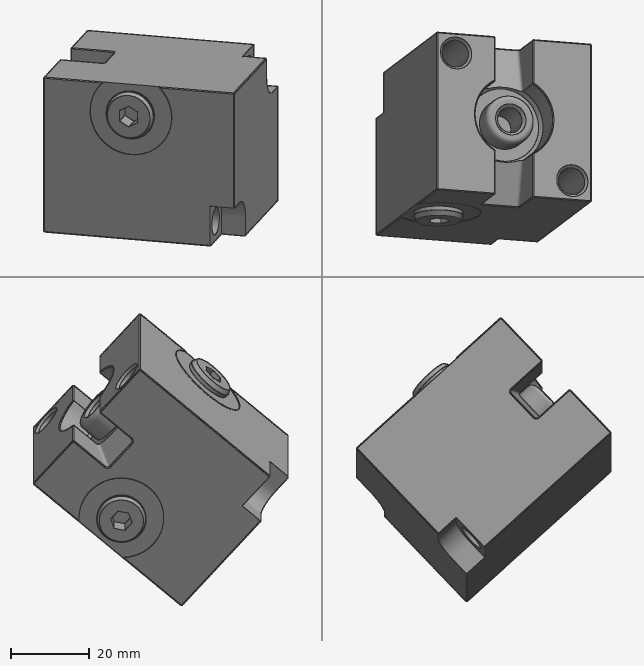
import cadquery as cq
import math

LENGTH = 50.29
SIDE = 41.28
HALF = SIDE / 2
EDGE_CHAMFER = 0.25

BORE_RADIUS = 10.35
BORE_DEPTH = 9.1
BORE_CHAMFER = 0.9
SLOT_WIDTH = 10.0
SLOT_EDGE_DEPTH = 11.65
SLOT_TAPER = 15.0
SLOT_FILLET = 0.8

BOSS_RADIUS = 6.33
BOSS_TIP_X = 2.82
BOSS_ROUND = 1.25
BOSS_HOLE_RADIUS = 3.25
BOSS_HOLE_CHAMFER = 0.8
BOSS_HOLE_DEPTH = 10.0
BOSS_ROOT_X = BOSS_TIP_X + BOSS_HOLE_DEPTH

MOUNT_SPACING = 31.0
MOUNT_OFFSET = MOUNT_SPACING / 2
MOUNT_RADIUS = 3.5
MOUNT_CHAMFER = 0.65
RELIEF_DEPTH = 6.35
RELIEF_RADIUS = 5.56

PLUG_X = 23.03
PLUG_EDGE_DISTANCE = 7.9
PLUG_OFFSET = HALF - PLUG_EDGE_DISTANCE
PLUG_RADIUS = 6.3
PLUG_NECK_RADIUS = 6.15
PLUG_HEIGHT = 2.03
PLUG_CHAMFER_HEIGHT = 1.25
PLUG_CHAMFER_RADIAL = 0.7
SPOT_RADIUS = 10.75
SPOT_DEPTH = 0.25
SOCKET_FLATS = 4.76
SOCKET_DEPTH = 5.0


def cylinder_x(radius, x_start, x_end):
    """Cylinder on the bore axis between two X positions."""
    return cq.Workplane("YZ", origin=(x_start, 0, 0)).circle(radius).extrude(x_end - x_start)


def drill_x(x_start, x_end, radius, chamfer, y=0, z=0):
    """Cutter for a hole along X with a 45 degree chamfer at its mouth."""
    length = x_end - x_start
    profile = [
        (0, 0),
        (0, radius + chamfer),
        (chamfer, radius),
        (length, radius),
        (length, 0),
    ]
    drill = cq.Workplane("XY").polyline(profile).close().revolve(360, (0, 0), (1, 0))
    return drill.translate((x_start, y, z))


def slot_cutter():
    """Slot through the full height, deepest at the top and bottom faces."""
    center_depth = SLOT_EDGE_DEPTH - HALF * math.tan(math.radians(SLOT_TAPER))
    profile = [
        (0, -HALF),
        (SLOT_EDGE_DEPTH, -HALF),
        (center_depth, 0),
        (SLOT_EDGE_DEPTH, HALF),
        (0, HALF),
    ]
    cutter = cq.Workplane("XZ").polyline(profile).close().extrude(SLOT_WIDTH / 2, both=True)
    floor_sides = cutter.faces("<Y or >Y").edges("not(|X or |Z)")
    return floor_sides.fillet(SLOT_FILLET)


def bore_cutter():
    """Round recess with a chamfered floor edge."""
    return cylinder_x(BORE_RADIUS, 0, BORE_DEPTH).faces(">X").edges().chamfer(BORE_CHAMFER)


def recessed_block():
    """Block with recess and slot, all its outer edges chamfered."""
    block = cq.Workplane("XY").box(LENGTH, SIDE, SIDE, centered=(False, True, True))
    block = block.cut(slot_cutter()).cut(bore_cutter())
    outer_edges = block.faces("<X or >X or <Y or >Y or <Z or >Z").edges()
    return outer_edges.chamfer(EDGE_CHAMFER)


def boss():
    """Boss rising from inside the block to the rounded tip."""
    return cylinder_x(BOSS_RADIUS, BOSS_TIP_X, BOSS_ROOT_X).faces("<X").edges().fillet(BOSS_ROUND)


def corner_relief(sign):
    """Square relief at one corner, its inner edge rounded about the mounting hole."""
    size = HALF - MOUNT_OFFSET + RELIEF_RADIUS
    center = sign * (HALF - size / 2)
    relief = cq.Workplane("XY").box(RELIEF_DEPTH, size, size)
    inner_edge = "<(0, 1, 1)" if sign > 0 else ">(0, 1, 1)"
    relief = relief.edges("|X").edges(inner_edge).fillet(RELIEF_RADIUS)
    return relief.translate((LENGTH - RELIEF_DEPTH / 2, center, center))


def plug():
    """Plug raised from a face at Z = 0, sunk below the spot face."""
    rim_height = PLUG_HEIGHT - PLUG_CHAMFER_HEIGHT
    tip_radius = PLUG_RADIUS - PLUG_CHAMFER_RADIAL
    profile = [
        (0, -SPOT_DEPTH),
        (PLUG_NECK_RADIUS, -SPOT_DEPTH),
        (PLUG_NECK_RADIUS, rim_height),
        (PLUG_RADIUS, rim_height),
        (tip_radius, PLUG_HEIGHT),
        (0, PLUG_HEIGHT),
    ]
    return cq.Workplane("XZ").polyline(profile).close().revolve(360, (0, 0), (0, 1))


def spot_face():
    """Cutter for the spot face in a face at Z = 0."""
    return cq.Workplane("XY").circle(SPOT_RADIUS).extrude(-SPOT_DEPTH)


def socket():
    """Cutter for the hexagon socket, two of its flats facing along X."""
    across_corners = SOCKET_FLATS / math.cos(math.radians(30))
    hexagon = cq.Workplane("XY", origin=(0, 0, PLUG_HEIGHT)).polygon(6, across_corners)
    return hexagon.extrude(-SOCKET_DEPTH).rotate((0, 0, 0), (0, 0, 1), 30)


def on_front(shape):
    """Move a shape from the Z = 0 face to the front plug position."""
    return shape.rotate((0, 0, 0), (1, 0, 0), 90).translate((PLUG_X, -HALF, PLUG_OFFSET))


def on_bottom(shape):
    """Move a shape from the Z = 0 face to the bottom plug position."""
    return shape.rotate((0, 0, 0), (1, 0, 0), 180).translate((PLUG_X, PLUG_OFFSET, -HALF))


result = recessed_block().union(boss())
result = result.cut(drill_x(BOSS_TIP_X, BOSS_ROOT_X, BOSS_HOLE_RADIUS, BOSS_HOLE_CHAMFER))

for corner_sign in (1, -1):
    hole_position = corner_sign * MOUNT_OFFSET
    result = result.cut(drill_x(0, LENGTH, MOUNT_RADIUS, MOUNT_CHAMFER, hole_position, hole_position))
    result = result.cut(corner_relief(corner_sign))

for place in (on_front, on_bottom):
    result = result.cut(place(spot_face()))
    result = result.union(place(plug()))
    result = result.cut(place(socket()))